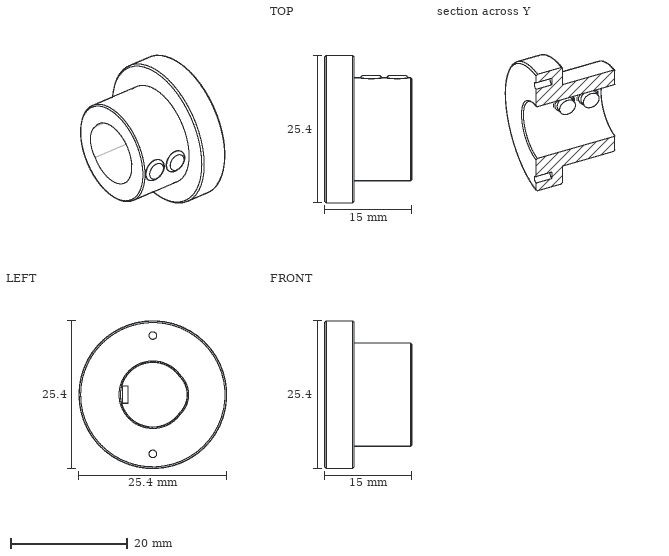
import cadquery as cq

total_length = 15.0
flange_diameter = 25.4
flange_thickness = 5.08
flange_chamfer = 0.3
hub_diameter = 17.78
hub_chamfer = 0.25

bore_radius = 5.556
relief_radius = 4.4
relief_reach = 5.9
bore_chamfer = 0.25
relief_center_y = relief_radius - relief_reach

face_hole_diameter = 1.3
face_hole_depth = 3.0
face_hole_offset = 10.16

screw_diameter = 4.0
screw_length = 5.0
screw_chamfer = 0.5
dog_diameter = screw_diameter - 2 * screw_chamfer
dog_length = 1.0
dog_tip_y = 4.25
screw_positions_x = (8.0, 12.5)
shoulder_y = dog_tip_y + dog_length
screw_top_y = dog_tip_y + screw_length


def rod_along_x(start_x, length, radius, y=0.0, z=0.0):
    """Cylinder parallel to X."""
    return cq.Workplane("YZ", origin=(start_x, y, z)).circle(radius).extrude(length)


def rod_along_y(x, start_y, end_y, radius):
    """Cylinder parallel to Y at Z = 0."""
    return cq.Workplane("XZ", origin=(x, start_y, 0)).circle(radius).extrude(start_y - end_y)


def screw_shank(x, end_y):
    """Cylinder parallel to Y at Z = 0 whose inner end tapers down to the dog point."""
    shank = rod_along_y(x, shoulder_y, end_y, screw_diameter / 2)
    return shank.faces("<Y").edges().chamfer(screw_chamfer)


def make_blank():
    """Solid flange and hub with their outer edges chamfered."""
    flange = rod_along_x(0, flange_thickness, flange_diameter / 2).edges().chamfer(flange_chamfer)
    hub = rod_along_x(0, total_length, hub_diameter / 2).faces(">X").edges().chamfer(hub_chamfer)
    return flange.union(hub)


def chamfered_bore(radius, y=0.0):
    """Cutter for a through bore parallel to X with a 45 degree mouth at the flange face."""
    mouth = cq.Solid.makeCone(
        radius + bore_chamfer, radius, bore_chamfer, pnt=cq.Vector(0, y, 0), dir=cq.Vector(1, 0, 0)
    )
    return rod_along_x(0, total_length, radius, y=y).union(cq.Workplane(mouth))


def make_collar():
    """Collar with its bore, face holes and screw holes."""
    collar = make_blank()
    collar = collar.cut(chamfered_bore(bore_radius))
    collar = collar.cut(chamfered_bore(relief_radius, y=relief_center_y))
    for z in (-face_hole_offset, face_hole_offset):
        collar = collar.cut(rod_along_x(0, face_hole_depth, face_hole_diameter / 2, z=z))
    for x in screw_positions_x:
        collar = collar.cut(screw_shank(x, hub_diameter))
    return collar


def make_set_screw(x):
    """Set screw with both shank ends chamfered and a narrower dog point."""
    shank = screw_shank(x, screw_top_y).faces(">Y").edges().chamfer(screw_chamfer)
    return shank.union(rod_along_y(x, dog_tip_y, shoulder_y, dog_diameter / 2))


collar = make_collar()
set_screws = [make_set_screw(x) for x in screw_positions_x]

result = cq.Compound.makeCompound([collar.val(), *[screw.val() for screw in set_screws]])